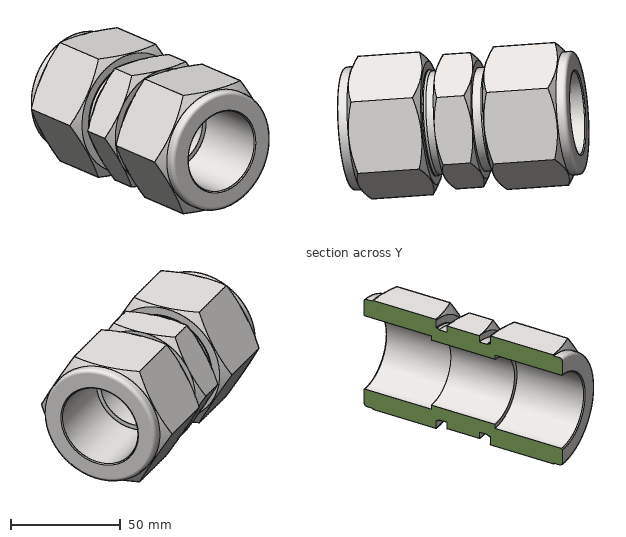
import cadquery as cq
import math

length = 106.3
half_length = length / 2
chamfer_angle = math.radians(30)

nut_across_flats = 57.2
nut_inner_x = 14.4
nut_outer_x = 48.5
collar_radius = 28.2
collar_fillet = 1.7

body_across_flats = 53.9
body_hex_width = 17.4
neck_radius = 23.7

lip_radius = 24.3
lip_start_x = 12.8
lip_full_x = 13.8

bore_radius = 16.9
socket_radius = 19.0
socket_depth = 36.1
entry_chamfer = 0.5


def cylinder(radius, start_x, end_x):
    """Solid cylinder along X."""
    return cq.Workplane("YZ").workplane(offset=start_x).circle(radius).extrude(end_x - start_x)


def chamfered_hex(across_flats, chamfer_radius, start_x, end_x):
    """Hexagonal prism along X, corners on +Y and -Y, both ends turned to a cone."""
    corner_radius = across_flats / math.sqrt(3)
    chamfer_depth = (corner_radius - chamfer_radius) * math.tan(chamfer_angle)
    prism = (
        cq.Workplane("YZ")
        .workplane(offset=start_x)
        .polygon(6, 2 * corner_radius)
        .extrude(end_x - start_x)
    )
    envelope = (
        cq.Workplane("XY")
        .moveTo(start_x, 0)
        .lineTo(start_x, chamfer_radius)
        .lineTo(start_x + chamfer_depth, corner_radius)
        .lineTo(end_x - chamfer_depth, corner_radius)
        .lineTo(end_x, chamfer_radius)
        .lineTo(end_x, 0)
        .close()
        .revolve(360, (0, 0, 0), (1, 0, 0))
    )
    return prism.intersect(envelope)


def end_nut():
    """Nut at the +X end: hexagon, rounded outer collar and flared inner lip."""
    hexagon = chamfered_hex(nut_across_flats, collar_radius, nut_inner_x, nut_outer_x)
    collar = cylinder(collar_radius, nut_inner_x, half_length).faces(">X").edges().fillet(collar_fillet)
    lip = (
        cq.Workplane("XY")
        .moveTo(lip_start_x, 0)
        .lineTo(lip_start_x, neck_radius)
        .lineTo(lip_full_x, lip_radius)
        .lineTo(nut_inner_x, lip_radius)
        .lineTo(nut_inner_x, 0)
        .close()
        .revolve(360, (0, 0, 0), (1, 0, 0))
    )
    return hexagon.union(collar).union(lip)


def socket():
    """Tube socket cut into the +X end, with a chamfered mouth."""
    mouth_radius = socket_radius + entry_chamfer
    return (
        cq.Workplane("XY")
        .moveTo(half_length - socket_depth, 0)
        .lineTo(half_length - socket_depth, socket_radius)
        .lineTo(half_length - entry_chamfer, socket_radius)
        .lineTo(half_length, mouth_radius)
        .lineTo(half_length, 0)
        .close()
        .revolve(360, (0, 0, 0), (1, 0, 0))
    )


def both_ends(solid):
    """The +X end solid together with its mirror image at -X."""
    return solid.union(solid.mirror("YZ"))


neck = cylinder(neck_radius, -nut_inner_x, nut_inner_x)
body_hex = chamfered_hex(body_across_flats, body_across_flats / 2, -body_hex_width / 2, body_hex_width / 2)
bore = cylinder(bore_radius, -half_length, half_length)

result = neck.union(body_hex).union(both_ends(end_nut()))
result = result.cut(bore).cut(both_ends(socket()))